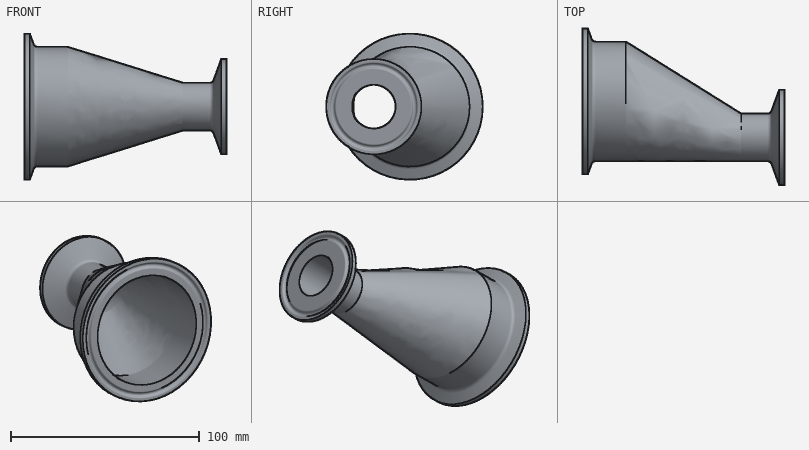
import cadquery as cq
import math

length = 107.0
tube_length = 23.0

large_flange_diameter = 77.5
large_tube_diameter = 63.5
large_bore_diameter = 59.5
large_groove_diameter = 70.4

small_flange_diameter = 50.5
small_tube_diameter = 25.4
small_bore_diameter = 23.0
small_groove_diameter = 43.5

lip_thickness = 2.9
clamp_angle = 20.0
neck_radius = 2.0
groove_wall_angle = 70.0
groove_floor_radius = 1.2
groove_edge_radius = 0.9

axis_offset = (large_tube_diameter - small_tube_diameter) / 2
large_end = (0, 0, 0)
small_end = (length, -axis_offset, 0)


def arc_size(arc_radius, angle):
    """Run and rise of an arc that starts along the run and turns by the angle."""
    return arc_radius * math.sin(angle), arc_radius * (1 - math.cos(angle))


def gasket_groove(radius, inward):
    """Ring with a round floor that blends into the end face through rounded edges."""
    wall_angle = math.radians(groove_wall_angle)
    floor_half_width, floor_height = arc_size(groove_floor_radius, wall_angle)
    edge_width, edge_depth = arc_size(groove_edge_radius, wall_angle)
    edge_mid_width, edge_mid_depth = arc_size(groove_edge_radius, wall_angle / 2)
    half_width = floor_half_width + edge_width

    def point(depth, offset):
        return (inward * depth, radius + offset)

    return (
        cq.Workplane("XY")
        .moveTo(*point(0, -half_width))
        .threePointArc(
            point(edge_mid_depth, edge_mid_width - half_width),
            point(edge_depth, -floor_half_width),
        )
        .threePointArc(
            point(edge_depth + floor_height, 0),
            point(edge_depth, floor_half_width),
        )
        .threePointArc(
            point(edge_mid_depth, half_width - edge_mid_width),
            point(0, half_width),
        )
        .close()
        .revolve(360, (0, 0, 0), (1, 0, 0))
    )


def ferrule(flange_diameter, tube_diameter, groove_diameter, end, inward):
    """Solid flanged tube with a gasket groove; inward is the X sense from its end face."""
    flange_radius = flange_diameter / 2
    tube_radius = tube_diameter / 2
    slope_length = (flange_radius - tube_radius) * math.tan(math.radians(clamp_angle))
    neck_angle = math.radians(90 - clamp_angle)
    neck_end = lip_thickness + slope_length + neck_radius * math.tan(neck_angle / 2)
    neck_run, neck_rise = arc_size(neck_radius, neck_angle)
    neck_mid_run, neck_mid_rise = arc_size(neck_radius, neck_angle / 2)
    body = (
        cq.Workplane("XY")
        .moveTo(0, 0)
        .lineTo(0, flange_radius)
        .lineTo(inward * lip_thickness, flange_radius)
        .lineTo(inward * (neck_end - neck_run), tube_radius + neck_rise)
        .threePointArc(
            (inward * (neck_end - neck_mid_run), tube_radius + neck_mid_rise),
            (inward * neck_end, tube_radius),
        )
        .lineTo(inward * tube_length, tube_radius)
        .lineTo(inward * tube_length, 0)
        .close()
        .revolve(360, (0, 0, 0), (1, 0, 0))
    )
    return body.cut(gasket_groove(groove_diameter / 2, inward)).translate(end)


def eccentric_cone(large_diameter, small_diameter):
    """Ruled transition between the inner ends of the two straight tubes."""
    return (
        cq.Workplane("YZ", origin=(tube_length, 0, 0))
        .circle(large_diameter / 2)
        .workplane(offset=length - 2 * tube_length)
        .center(-axis_offset, 0)
        .circle(small_diameter / 2)
        .loft(ruled=True)
    )


def straight_bore(diameter, start_x, y):
    return cq.Workplane("YZ", origin=(start_x, y, 0)).circle(diameter / 2).extrude(tube_length)


large_ferrule = ferrule(
    large_flange_diameter, large_tube_diameter, large_groove_diameter, large_end, 1
)
small_ferrule = ferrule(
    small_flange_diameter, small_tube_diameter, small_groove_diameter, small_end, -1
)
outer_body = (
    large_ferrule
    .union(eccentric_cone(large_tube_diameter, small_tube_diameter))
    .union(small_ferrule)
)

result = (
    outer_body
    .cut(straight_bore(large_bore_diameter, 0, 0))
    .cut(eccentric_cone(large_bore_diameter, small_bore_diameter))
    .cut(straight_bore(small_bore_diameter, length - tube_length, -axis_offset))
)